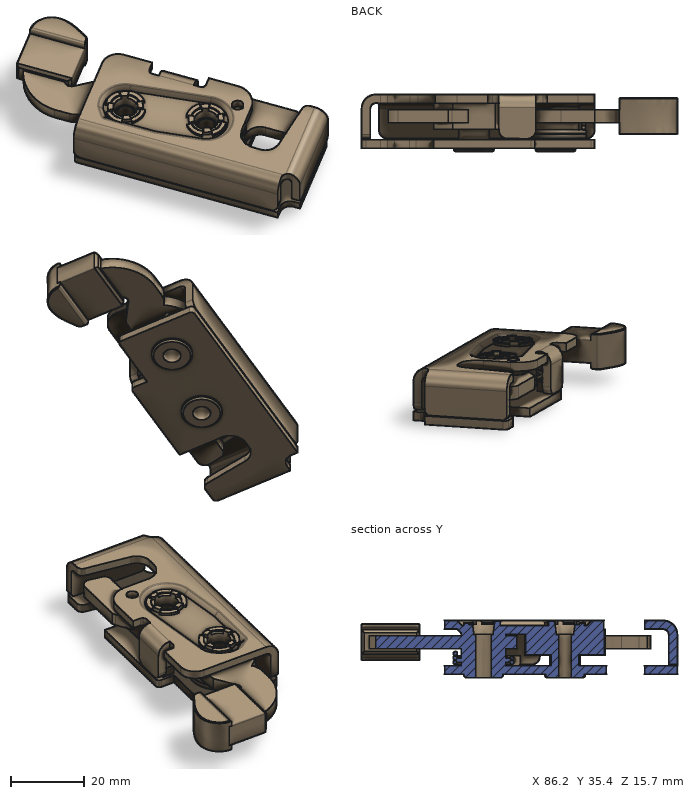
import cadquery as cq
import math


OVERLAP = 0.9

HOUSING_LENGTH = 63.6
HOUSING_DEPTH = 28.5
SHEET = 2.4
COVER_TOP = 14.7
COVER_UNDERSIDE = COVER_TOP - SHEET
WALL_GAP = 0.3
WALL_BOTTOM = SHEET + WALL_GAP
BEND_RADIUS = 4.0
INNER_BEND_RADIUS = BEND_RADIUS - SHEET
WALL_CORNER_RADIUS = 2.3
RIGHT_WALL_CORNER_RADIUS = 1.2
COVER_CORNER_RADIUS = 4.65
BASE_CORNER_RADIUS = 1.1

RELIEF_X = 58.8
RELIEF_Y = 4.9
COVER_RELIEF_RADIUS = 2.3
BASE_RELIEF_RADIUS = 2.9

SLOT_LEFT = 43.4
SLOT_BOTTOM = 10.1
SLOT_BOTTOM_RIGHT = 54.0
SLOT_TOP_RIGHT = 56.85
SLOT_LEFT_RADIUS = 4.8
SLOT_RIGHT_RADIUS = 4.1
SLOT_MOUTH_LEFT_RADIUS = 5.9
SLOT_MOUTH_RIGHT_RADIUS = 1.8
BASE_SLOT_INSET = 0.5
SLOT_OVERSHOOT = 4.3

TAB_LEFT = 16.0
TAB_RIGHT = 26.1
TAB_BEND_RADIUS = 3.5
TAB_NOTCH_WIDTH = 3.1
TAB_NOTCH_DEPTH = 3.6
TAB_NOTCH_BOTTOM = HOUSING_DEPTH - TAB_NOTCH_DEPTH
TAB_NOTCH_RADIUS = 1.3

BASE_STEP_X = 16.4
BASE_STEP_Y = 23.35

LEVER_RIVET = (10.7, 12.4)
JAW_RIVET = (32.9, 15.5)
RIVETS = (LEVER_RIVET, JAW_RIVET)
RIVET_BORE = 4.8
RIVET_MOUTH = 6.6
RIVET_SEAT = 5.8
RIVET_BODY = 8.4
RIVET_TOOTH = 9.65
RIVET_HEAD = 11.1
RIVET_RIM_HEIGHT = 0.3
RIVET_PETAL_HEIGHT = 0.7
RIVET_TOOTH_HEIGHT = 1.2
RIVET_FOOT_HEIGHT = 0.95
RIVET_FOOT_CHAMFER = 0.5
PETAL_COUNT = 4
PETAL_ANGLE = 60
PETAL_START = -22

POCKET_DEPTH = 1.4
POCKET_FLOOR_RADIUS = 6.0
POCKET_SHIFT = 0.2
POCKET_FLOOR_FRONT = 7.6
POCKET_FLOOR = COVER_TOP - POCKET_DEPTH
POCKET_CHORD_DROP = 2.0
POCKET_RIM_RADIUS = 0.4
POCKET_MIDDLE = (
    (LEVER_RIVET[0] + JAW_RIVET[0]) / 2,
    (LEVER_RIVET[1] + JAW_RIVET[1]) / 2,
    COVER_TOP,
)

PIN_HOLE_CENTER = (39.6, 22.3)
PIN_HOLE_TOP = 3.2
PIN_HOLE_BOTTOM = 2.7

BLADE_BOTTOM = 7.0
BLADE_TOP = 10.6
BLADE_THICKNESS = BLADE_TOP - BLADE_BOTTOM
LEVER_HUB_RADIUS = 9.3
NECK_LEFT = -20.4
NECK_RIGHT = -8.35
NECK_FRONT = 7.6
NECK_END = (-0.4, 8.8)
SPACER_DIAMETER = 12.7

JAW_HUB_BOTTOM = 5.25
JAW_HUB_RADIUS = 10.9
JAW_HUB_BACK = 24.8
JAW_ARM_FRONT = 20.5

SPRING_WIRE = 1.1
SPRING_RADIUS = 7.9
SPOOL_DIAMETER = 2 * SPRING_RADIUS - SPRING_WIRE / 2
SPRING_LEVELS = (3.3, 4.5)
LEG_X = 3.0
LEG_PATH = [(17.2, 5.7), (10.85, 5.7), (9.3, 7.4)]

STOP_LEFT = 17.2
STOP_LENGTH = 3.45
STOP_FRONT = 22.8
STOP_WIDTH = 3.45
STOP_HEIGHT = 2.7

KNOB_LEFT = -22.6
KNOB_RIGHT = -6.7
KNOB_FRONT = 17.4
KNOB_BACK = 35.4
HEAD_FRONT = 28.85
HEAD_BOTTOM = 3.8
HEAD_HEIGHT = 10.0
HEAD_FRONT_FILLET = 0.95
HEAD_EDGE = 0.3
GRIP_HEIGHT = 6.6
GRIP_FRONT_CHAMFER = 0.8
GRIP_EDGE = 0.2


def block(x0, x1, y0, y1, z0, z1):
    return cq.Workplane("XY").box(x1 - x0, y1 - y0, z1 - z0, centered=False).translate((x0, y0, z0))


def cylinder(center, diameter, z0, z1):
    return cq.Workplane("XY", origin=(0, 0, z0)).center(*center).circle(diameter / 2).extrude(z1 - z0)


def corner_relief(radius):
    """Vertical cutter for the front-right corner, with a rounded inner corner."""
    cutter = block(RELIEF_X, HOUSING_LENGTH + OVERLAP, -OVERLAP, RELIEF_Y, -OVERLAP, COVER_TOP + OVERLAP)
    return cutter.edges("|Z and <X and >Y").fillet(radius)


def striker_slot(inset):
    """Vertical cutter for the striker slot, narrowed at the left and the bottom by the inset."""
    lean = (SLOT_TOP_RIGHT - SLOT_BOTTOM_RIGHT) / (HOUSING_DEPTH - SLOT_BOTTOM)
    bottom = SLOT_BOTTOM + inset
    left = SLOT_LEFT + inset
    back = HOUSING_DEPTH + SLOT_OVERSHOOT
    bottom_right = SLOT_BOTTOM_RIGHT + lean * inset
    back_right = SLOT_TOP_RIGHT + lean * (back - HOUSING_DEPTH)
    cutter = (
        cq.Workplane("XY", origin=(0, 0, -OVERLAP))
        .polyline([(left, back), (left, bottom), (bottom_right, bottom), (back_right, back)])
        .close()
        .extrude(COVER_TOP + 2 * OVERLAP)
    )
    cutter = cutter.edges("|Z and <Y and <X").fillet(SLOT_LEFT_RADIUS)
    bottom_corner = cq.selectors.NearestToPointSelector((bottom_right, bottom, COVER_TOP / 2))
    return cutter.edges("|Z").edges(bottom_corner).fillet(SLOT_RIGHT_RADIUS)


def round_vertical_edge(body, x, y, z, radius):
    return body.edges("|Z").edges(cq.selectors.NearestToPointSelector((x, y, z))).fillet(radius)


def pocket_form(z0):
    """Tapered form of the embossed pocket, widening upward at 45 degrees from its floor at z0."""
    (x1, y1), (x2, y2) = RIVETS
    y1 -= POCKET_SHIFT
    y2 -= POCKET_SHIFT
    r = POCKET_FLOOR_RADIUS
    tilt = math.atan2(y2 - y1, x2 - x1)
    side_x = r * math.sin(tilt)
    side_y = r * math.cos(tilt)
    front_x = x1 + side_x + (POCKET_FLOOR_FRONT - (y1 - side_y)) / math.tan(tilt)
    front_left_x = x1 - math.sqrt(r ** 2 - (y1 - POCKET_FLOOR_FRONT) ** 2)
    chord_x = x1 - math.sqrt(r ** 2 - POCKET_CHORD_DROP ** 2)
    far_left = (x1 - r * math.cos(math.pi / 4), y1 + r * math.sin(math.pi / 4))
    far_right = (x2 + r * math.cos(tilt), y2 + r * math.sin(tilt))
    return (
        cq.Workplane("XY", origin=(0, 0, z0))
        .moveTo(front_left_x, POCKET_FLOOR_FRONT)
        .lineTo(front_x, POCKET_FLOOR_FRONT)
        .lineTo(x2 + side_x, y2 - side_y)
        .threePointArc(far_right, (x2 - side_x, y2 + side_y))
        .lineTo(x1 - side_x, y1 + side_y)
        .threePointArc(far_left, (chord_x, y1 - POCKET_CHORD_DROP))
        .close()
        .extrude(POCKET_DEPTH, taper=-45)
    )


def cover_sheet():
    """Top sheet with the front and right walls bent down."""
    outer = block(0, HOUSING_LENGTH, 0, HOUSING_DEPTH, WALL_BOTTOM, COVER_TOP)
    outer = outer.edges("(>Z and <Y) or (>Z and >X)").fillet(BEND_RADIUS)
    inner = block(
        -OVERLAP,
        HOUSING_LENGTH - SHEET,
        SHEET,
        HOUSING_DEPTH + OVERLAP,
        WALL_BOTTOM - OVERLAP,
        COVER_UNDERSIDE,
    )
    inner = inner.edges("(>Z and <Y) or (>Z and >X)").fillet(INNER_BEND_RADIUS)
    return outer.cut(inner).cut(corner_relief(COVER_RELIEF_RADIUS))


def back_tab():
    tab = block(TAB_LEFT, TAB_RIGHT, TAB_NOTCH_BOTTOM, HOUSING_DEPTH, WALL_BOTTOM, COVER_TOP)
    tab = tab.edges(">Z and >Y").fillet(TAB_BEND_RADIUS)
    inside = block(
        TAB_LEFT, TAB_RIGHT, 0, HOUSING_DEPTH - SHEET, WALL_BOTTOM, COVER_UNDERSIDE
    ).edges(">Z and >Y").fillet(TAB_BEND_RADIUS - SHEET)
    return tab.cut(inside).edges("|Y and <Z").fillet(WALL_CORNER_RADIUS)


def tab_opening():
    """Cutter that clears the back edge across the tab and both of its relief notches."""
    opening = block(
        TAB_LEFT - TAB_NOTCH_WIDTH,
        TAB_RIGHT + TAB_NOTCH_WIDTH,
        TAB_NOTCH_BOTTOM,
        HOUSING_DEPTH + OVERLAP,
        COVER_UNDERSIDE - OVERLAP,
        COVER_TOP + OVERLAP,
    )
    return opening.edges("|Z and <Y").fillet(TAB_NOTCH_RADIUS)


def make_cover():
    """Cover with the striker slot, the back tab, the embossed pocket and the pin hole."""
    cover = cover_sheet()
    middle_z = (COVER_UNDERSIDE + COVER_TOP) / 2
    cover = cover.cut(striker_slot(0))
    cover = round_vertical_edge(cover, 0, HOUSING_DEPTH, middle_z, COVER_CORNER_RADIUS)
    cover = round_vertical_edge(cover, SLOT_LEFT, HOUSING_DEPTH, middle_z, SLOT_MOUTH_LEFT_RADIUS)
    cover = round_vertical_edge(
        cover, SLOT_TOP_RIGHT, HOUSING_DEPTH, middle_z, SLOT_MOUTH_RIGHT_RADIUS
    )
    for x in (0, RELIEF_X):
        corner = cq.selectors.NearestToPointSelector((x, SHEET / 2, WALL_BOTTOM))
        cover = cover.edges("|Y").edges(corner).fillet(WALL_CORNER_RADIUS)
    for y in (RELIEF_Y, HOUSING_DEPTH):
        corner = cq.selectors.NearestToPointSelector((HOUSING_LENGTH - SHEET / 2, y, WALL_BOTTOM))
        cover = cover.edges("|X").edges(corner).fillet(RIGHT_WALL_CORNER_RADIUS)
    cover = cover.cut(tab_opening()).union(back_tab())
    cover = cover.union(pocket_form(COVER_UNDERSIDE - POCKET_DEPTH)).cut(pocket_form(POCKET_FLOOR))
    rim = cover.faces(">Z").wires(cq.selectors.NearestToPointSelector(POCKET_MIDDLE))
    cover = cover.newObject(rim.edges().vals()).fillet(POCKET_RIM_RADIUS)
    pin_hole = (
        cq.Workplane("XY", origin=(*PIN_HOLE_CENTER, COVER_TOP))
        .circle(PIN_HOLE_TOP / 2)
        .workplane(offset=-SHEET)
        .circle(PIN_HOLE_BOTTOM / 2)
        .loft()
    )
    return cover.cut(pin_hole)


def make_base():
    """Base plate with a stepped corner, the striker slot and a stop block on top."""
    base = block(0, HOUSING_LENGTH, 0, HOUSING_DEPTH, 0, SHEET)
    step = block(
        -OVERLAP, BASE_STEP_X, BASE_STEP_Y, HOUSING_DEPTH + OVERLAP, -OVERLAP, SHEET + OVERLAP
    )
    base = base.cut(step)
    corners = ((0, 0), (0, BASE_STEP_Y), (BASE_STEP_X, HOUSING_DEPTH), (HOUSING_LENGTH, HOUSING_DEPTH))
    for x, y in corners:
        base = round_vertical_edge(base, x, y, SHEET / 2, BASE_CORNER_RADIUS)
    base = base.cut(corner_relief(BASE_RELIEF_RADIUS)).cut(striker_slot(BASE_SLOT_INSET))
    base = round_vertical_edge(
        base, SLOT_TOP_RIGHT, HOUSING_DEPTH, SHEET / 2, SLOT_MOUTH_RIGHT_RADIUS
    )
    stop = block(
        STOP_LEFT, STOP_LEFT + STOP_LENGTH, STOP_FRONT, STOP_FRONT + STOP_WIDTH, 0, SHEET + STOP_HEIGHT
    )
    return base.union(stop)


def make_lever():
    """Flat lever: hub on the left rivet, curved neck out to the knob."""
    hub_x, hub_y = LEVER_RIVET
    hub_front = (hub_x, hub_y - LEVER_HUB_RADIUS)
    hub_back = (hub_x, hub_y + LEVER_HUB_RADIUS)
    neck = (
        cq.Workplane("XY", origin=(0, 0, BLADE_BOTTOM))
        .moveTo(NECK_LEFT, KNOB_FRONT + OVERLAP)
        .lineTo(NECK_LEFT, KNOB_FRONT)
        .threePointArc((-16.0, 10.6), (-8.2, NECK_FRONT))
        .lineTo(-3.8, NECK_FRONT)
        .threePointArc((-2.0, 7.9), NECK_END)
        .threePointArc((4.1, 4.7), hub_front)
        .lineTo(*hub_back)
        .lineTo(0, 20.85)
        .lineTo(-5.8, 16.9)
        .threePointArc((-7.15, 16.45), (NECK_RIGHT, KNOB_FRONT))
        .lineTo(NECK_RIGHT, KNOB_FRONT + OVERLAP)
        .close()
        .extrude(BLADE_THICKNESS)
    )
    hub = cylinder(LEVER_RIVET, 2 * LEVER_HUB_RADIUS, BLADE_BOTTOM, BLADE_TOP)
    return neck.union(hub)


def make_jaw():
    """Hooked jaw that closes the striker slot, turning on the right rivet."""
    hub = cylinder(JAW_RIVET, 2 * JAW_HUB_RADIUS, JAW_HUB_BOTTOM, COVER_UNDERSIDE)
    hub = hub.intersect(block(0, HOUSING_LENGTH, 0, JAW_HUB_BACK, 0, COVER_TOP))
    arm = (
        cq.Workplane("XY", origin=(0, 0, BLADE_BOTTOM))
        .moveTo(43.85, 15.9)
        .threePointArc((45.05, 19.1), (48.2, JAW_ARM_FRONT))
        .lineTo(53.0, JAW_ARM_FRONT)
        .threePointArc((54.4, 20.7), (55.4, 21.4))
        .lineTo(56.3, 26.1)
        .threePointArc((55.7, 27.7), (53.75, HOUSING_DEPTH))
        .lineTo(40.0, HOUSING_DEPTH)
        .lineTo(39.0, 28.1)
        .lineTo(34.45, JAW_HUB_BACK)
        .lineTo(*JAW_RIVET)
        .close()
        .extrude(BLADE_THICKNESS)
    )
    return hub.union(arm)


def make_knob():
    """Knob with a tall rounded head and a thinner grip around the lever."""
    head = (
        cq.Workplane("XY", origin=(0, 0, HEAD_BOTTOM))
        .moveTo(KNOB_LEFT, HEAD_FRONT - OVERLAP)
        .lineTo(KNOB_RIGHT, HEAD_FRONT - OVERLAP)
        .lineTo(KNOB_RIGHT, 30.6)
        .spline(
            [(-8.3, 32.4), (-16.3, KNOB_BACK), (-20.6, 33.7), (KNOB_LEFT, 29.1)],
            tangents=[(0, 1), (-0.8, 0.5), (-1, 0), (-0.7, -0.7), (0, -1)],
            includeCurrent=True,
        )
        .close()
        .extrude(HEAD_HEIGHT)
    )
    head = head.faces("<Z or >Z").chamfer(HEAD_EDGE)
    rounded_front = block(
        KNOB_LEFT, KNOB_RIGHT, HEAD_FRONT, KNOB_BACK, HEAD_BOTTOM, HEAD_BOTTOM + HEAD_HEIGHT
    ).edges("<Y and |X").fillet(HEAD_FRONT_FILLET)
    head = head.intersect(rounded_front)
    grip_bottom = HEAD_BOTTOM + (HEAD_HEIGHT - GRIP_HEIGHT) / 2
    grip_top = grip_bottom + GRIP_HEIGHT
    grip = block(KNOB_LEFT, KNOB_RIGHT, KNOB_FRONT, HEAD_FRONT + OVERLAP, grip_bottom, grip_top)
    grip = grip.faces("<Y").chamfer(GRIP_FRONT_CHAMFER)
    grip = grip.edges("|Y").fillet(GRIP_EDGE)
    return head.union(grip)


def rivet_cone(center):
    """Cutter for the tapered mouth of the rivet bore."""
    return (
        cq.Workplane("XY", origin=(*center, POCKET_FLOOR - SHEET))
        .circle(RIVET_SEAT / 2)
        .workplane(offset=SHEET + RIVET_TOOTH_HEIGHT)
        .circle(RIVET_MOUTH / 2)
        .loft()
    )


def petal_sectors(center):
    """Wedges over the petals, as tall as the pocket is deep."""
    half = math.radians(PETAL_ANGLE / 2)
    reach = RIVET_HEAD / math.cos(half)
    sectors = cq.Workplane("XY")
    for index in range(PETAL_COUNT):
        angle = math.radians(PETAL_START + index * 360 / PETAL_COUNT)
        corners = [(0, 0)]
        for side in (angle - half, angle + half):
            corners.append((reach * math.cos(side), reach * math.sin(side)))
        wedge = cq.Workplane("XY", origin=(*center, POCKET_FLOOR)).polyline(corners).close()
        sectors = sectors.union(wedge.extrude(POCKET_DEPTH))
    return sectors


def make_rivet(center):
    """Rivet with a chamfered foot, and four low petals alternating with tall teeth on top."""
    foot = cylinder(center, RIVET_HEAD, -RIVET_FOOT_HEIGHT, 0)
    foot = foot.faces("<Z").chamfer(RIVET_FOOT_CHAMFER)
    body = cylinder(center, RIVET_BODY, 0, POCKET_FLOOR + RIVET_RIM_HEIGHT)
    sectors = petal_sectors(center)
    petals = cylinder(center, RIVET_HEAD, POCKET_FLOOR, POCKET_FLOOR + RIVET_PETAL_HEIGHT)
    petals = petals.cut(cylinder(center, RIVET_BODY, POCKET_FLOOR, COVER_TOP)).intersect(sectors)
    teeth = cylinder(center, RIVET_TOOTH, POCKET_FLOOR, POCKET_FLOOR + RIVET_TOOTH_HEIGHT)
    return foot.union(body).union(petals).union(teeth.cut(sectors))


def make_spring_coil(z):
    coil = cq.Solid.makeTorus(SPRING_RADIUS, SPRING_WIRE / 2, cq.Vector(*LEVER_RIVET, z))
    return cq.Workplane(coil)


def make_spring_leg():
    """Wire leg that runs back from the lever, beside the spacer."""
    path = cq.Workplane("YZ", origin=(LEG_X, 0, 0)).polyline(LEG_PATH)
    start = cq.Plane(origin=(LEG_X, *LEG_PATH[0]), normal=(0, -1, 0), xDir=(1, 0, 0))
    return cq.Workplane(start).circle(SPRING_WIRE / 2).sweep(path, transition="round")


result = make_cover().union(make_base()).union(make_lever()).union(make_jaw()).union(make_knob())
result = result.union(cylinder(LEVER_RIVET, SPACER_DIAMETER, SHEET, COVER_UNDERSIDE))
result = result.union(cylinder(LEVER_RIVET, SPOOL_DIAMETER, SPRING_LEVELS[0], SPRING_LEVELS[-1]))
for level in SPRING_LEVELS:
    result = result.union(make_spring_coil(level))
result = result.union(make_spring_leg())
for rivet_center in RIVETS:
    result = result.union(make_rivet(rivet_center))
    result = result.cut(cylinder(rivet_center, RIVET_BORE, -RIVET_FOOT_HEIGHT, COVER_TOP))
    result = result.cut(rivet_cone(rivet_center))